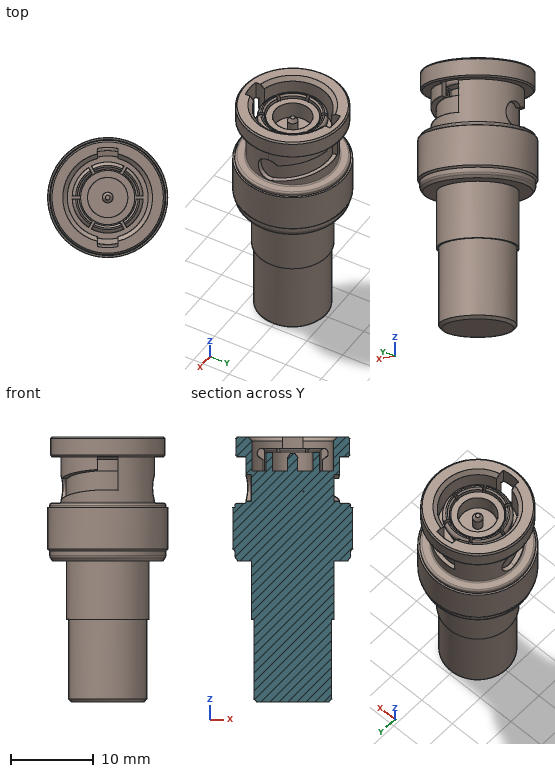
import cadquery as cq
import math

total_height = 32.0
big_radius = 16.0

ferrule_radius = 4.75
ferrule_top = 10.0
ferrule_chamfer = 0.4
barrel_radius = 5.0

collar_bottom = 17.02
collar_diameter = 14.5
collar_radius = collar_diameter / 2
shoulder_radius = 7.0
bottom_chamfer_inner_radius = 6.65
bottom_chamfer_outer_radius = 6.9
bottom_chamfer_top = 17.38
bottom_round_top = 17.65
bottom_round_radius = 0.48
grip_bottom = 18.25
grip_chamfer = collar_radius - shoulder_radius
grip_top = 23.5
collar_top = 24.0
collar_round = 0.25

neck_radius = 5.65
neck_foot_fillet = 0.15
head_radius = 6.9
head_bottom = 29.6
head_chamfer = 0.2

bore_diameter = 9.75
bore_radius = bore_diameter / 2
bore_mouth_radius = 5.4
bore_mouth_depth = 0.48
sleeve_radius = 5.02
bore_floor = 27.9

keyway_width = 2.45
ramp_width = 2.4
keyway_back_radius = 6.05
lock_hole_radius = 1.6
lock_hole_height = 25.85
ramp_angle = 14.0

contact_tube_radius = 3.6
contact_bulge_radius = 4.25
contact_bulge_bottom = 29.25
contact_cone_radius = 4.15
contact_cone_top = 29.63
contact_bulge_middle = 29.82
contact_top_outer_radius = 3.87
contact_top_inner_radius = 3.68
contact_inner_radius = 3.42
contact_top = 30.62
contact_inner_chamfer = 0.2
contact_slit_count = 6
contact_slit_width = 0.4

insulator_radius = 3.25
insulator_bore_radius = 2.43
insulator_top = 30.18
pin_radius = 0.65
pin_tip_radius = 0.3
pin_top = 30.0
pin_cone_height = 0.48


def revolve_profile(profile):
    """Turn a closed (radius, height) profile about the Z axis."""
    return profile.close().revolve(360, (0, 0, 0), (0, 1, 0))


def cylinder(radius, bottom, top):
    return cq.Workplane("XY").workplane(offset=bottom).circle(radius).extrude(top - bottom)


def make_body():
    """Cable end, collar, neck and head as one turned solid."""
    diagonal = math.sqrt(0.5)
    foot_radius = neck_radius + neck_foot_fillet
    foot_top = collar_top + neck_foot_fillet
    round_start = shoulder_radius - collar_round
    round_bottom = collar_top - collar_round
    foot_middle = (
        foot_radius - neck_foot_fillet * diagonal,
        foot_top - neck_foot_fillet * diagonal,
    )
    round_middle = (
        round_start + collar_round * diagonal,
        round_bottom + collar_round * diagonal,
    )
    profile = (
        cq.Workplane("XZ")
        .moveTo(0, 0)
        .lineTo(ferrule_radius - ferrule_chamfer, 0)
        .lineTo(ferrule_radius, ferrule_chamfer)
        .lineTo(ferrule_radius, ferrule_top)
        .lineTo(barrel_radius, ferrule_top)
        .lineTo(barrel_radius, collar_bottom)
        .lineTo(bottom_chamfer_inner_radius, collar_bottom)
        .lineTo(bottom_chamfer_outer_radius, bottom_chamfer_top)
        .radiusArc((shoulder_radius, bottom_round_top), -bottom_round_radius)
        .lineTo(shoulder_radius, grip_bottom)
        .lineTo(collar_radius, grip_bottom + grip_chamfer)
        .lineTo(collar_radius, grip_top)
        .lineTo(shoulder_radius, grip_top)
        .lineTo(shoulder_radius, round_bottom)
        .threePointArc(round_middle, (round_start, collar_top))
        .lineTo(foot_radius, collar_top)
        .threePointArc(foot_middle, (neck_radius, foot_top))
        .lineTo(neck_radius, head_bottom)
        .lineTo(head_radius - head_chamfer, head_bottom)
        .lineTo(head_radius, head_bottom + head_chamfer)
        .lineTo(head_radius, total_height - head_chamfer)
        .lineTo(head_radius - head_chamfer, total_height)
        .lineTo(0, total_height)
    )
    return revolve_profile(profile)


def make_bore():
    """Mating bore with a conical mouth."""
    profile = (
        cq.Workplane("XZ")
        .moveTo(0, bore_floor)
        .lineTo(bore_radius, bore_floor)
        .lineTo(bore_radius, total_height - bore_mouth_depth)
        .lineTo(bore_mouth_radius, total_height)
        .lineTo(0, total_height)
    )
    return revolve_profile(profile)


def make_bayonet_slot():
    """Locking hole on -X, ramp towards -Y and the keyway up to the top face."""
    hole = (
        cq.Workplane("YZ")
        .center(0, lock_hole_height)
        .circle(lock_hole_radius)
        .extrude(-big_radius)
    )
    ramp_length = big_radius / 2
    ramp = (
        cq.Workplane("XY")
        .box(big_radius, ramp_length, ramp_width, centered=(False, False, False))
        .translate((keyway_width / 2 - big_radius, -ramp_length, -lock_hole_radius))
        .rotate((0, 0, 0), (1, 0, 0), -ramp_angle)
        .translate((0, 0, lock_hole_height))
    )
    keyway_bottom = lock_hole_height + lock_hole_radius
    keyway = (
        cq.Workplane("XY")
        .workplane(offset=keyway_bottom)
        .center(0, -big_radius / 2)
        .rect(keyway_width, big_radius)
        .extrude(total_height - keyway_bottom)
        .intersect(cylinder(keyway_back_radius, 0, total_height))
    )
    sleeve = cylinder(sleeve_radius, 0, bore_floor)
    return hole.union(ramp).union(keyway).cut(sleeve)


def make_contact_ring():
    """Bulged spring contact divided by radial slits."""
    bulge_middle = (contact_bulge_radius, contact_bulge_middle)
    profile = (
        cq.Workplane("XZ")
        .moveTo(contact_inner_radius, bore_floor)
        .lineTo(contact_tube_radius, bore_floor)
        .lineTo(contact_tube_radius, contact_bulge_bottom)
        .lineTo(contact_cone_radius, contact_cone_top)
        .threePointArc(bulge_middle, (contact_top_outer_radius, contact_top))
        .lineTo(contact_top_inner_radius, contact_top)
        .lineTo(contact_inner_radius, contact_top - contact_inner_chamfer)
    )
    ring = revolve_profile(profile)
    slit_height = contact_top - bore_floor
    for index in range(contact_slit_count):
        slit = (
            cq.Workplane("XY")
            .box(big_radius, contact_slit_width, slit_height, centered=(False, True, False))
            .translate((0, 0, bore_floor))
            .rotate((0, 0, 0), (0, 0, 1), index * 360 / contact_slit_count)
        )
        ring = ring.cut(slit)
    return ring


def make_insulator():
    """Open insulator cup standing on the bore floor."""
    outside = cylinder(insulator_radius, bore_floor, insulator_top)
    return outside.cut(cylinder(insulator_bore_radius, bore_floor, insulator_top))


def make_pin():
    """Centre pin with a conical tip."""
    profile = (
        cq.Workplane("XZ")
        .moveTo(0, bore_floor)
        .lineTo(pin_radius, bore_floor)
        .lineTo(pin_radius, pin_top - pin_cone_height)
        .lineTo(pin_tip_radius, pin_top)
        .lineTo(0, pin_top)
    )
    return revolve_profile(profile)


bayonet_slot = make_bayonet_slot()
opposite_slot = bayonet_slot.rotate((0, 0, 0), (0, 0, 1), 180)
shell = make_body().cut(make_bore()).cut(bayonet_slot).cut(opposite_slot)
result = shell.union(make_contact_ring()).union(make_insulator()).union(make_pin())